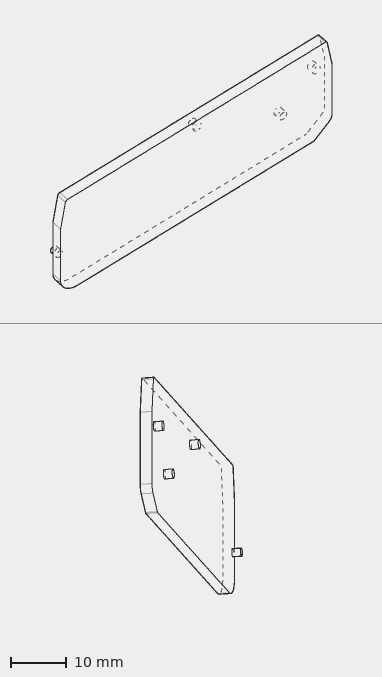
import cadquery as cq
import math

LENGTH = 63.2
HEIGHT = 24.5
THICKNESS = 2.2
OVERALL_DEPTH = 3.8
PIN_LENGTH = OVERALL_DEPTH - THICKNESS

TAPER_HEIGHT = 6.8
TAPER_ANGLE = 10.0
TAPER_INSET = TAPER_HEIGHT * math.tan(math.radians(TAPER_ANGLE))
TOP_CORNER_RADIUS = 0.5

ROUND_CORNER_RADIUS = 4.0
CUT_LENGTH = 4.2
CUT_ANGLE = 38.0
CUT_HEIGHT = CUT_LENGTH * math.tan(math.radians(CUT_ANGLE))
CUT_UPPER_RADIUS = 2.0
CUT_LOWER_RADIUS = 0.5

PIN_DIAMETER = 1.7
SMALL_PIN_DIAMETER = 1.5
PINS = [
    (29.8, 15.4, PIN_DIAMETER),
    (22.0, 8.6, PIN_DIAMETER),
    (2.1, 19.5, PIN_DIAMETER),
    (-30.1, 8.15, SMALL_PIN_DIAMETER),
]


def round_corner(body, y, z, radius):
    """Round the plate edge that runs along X through the outline corner (y, z)."""
    corner = cq.selectors.NearestToPointSelector((THICKNESS / 2, y, z))
    return body.edges("|X").edges(corner).fillet(radius)


def make_plate():
    end = LENGTH / 2
    top_end = end - TAPER_INSET
    shoulder = HEIGHT - TAPER_HEIGHT
    outline = [
        (-end, 0),
        (end - CUT_LENGTH, 0),
        (end, CUT_HEIGHT),
        (end, shoulder),
        (top_end, HEIGHT),
        (-top_end, HEIGHT),
        (-end, shoulder),
    ]
    plate = cq.Workplane("YZ").polyline(outline).close().extrude(THICKNESS)
    plate = round_corner(plate, -end, 0, ROUND_CORNER_RADIUS)
    plate = round_corner(plate, end - CUT_LENGTH, 0, CUT_LOWER_RADIUS)
    plate = round_corner(plate, end, CUT_HEIGHT, CUT_UPPER_RADIUS)
    for side in (-1, 1):
        plate = round_corner(plate, side * top_end, HEIGHT, TOP_CORNER_RADIUS)
    return plate


def make_pin(y, z, diameter):
    return cq.Workplane("YZ").center(y, z).circle(diameter / 2).extrude(-PIN_LENGTH)


result = make_plate()
for pin_y, pin_z, pin_diameter in PINS:
    result = result.union(make_pin(pin_y, pin_z, pin_diameter))